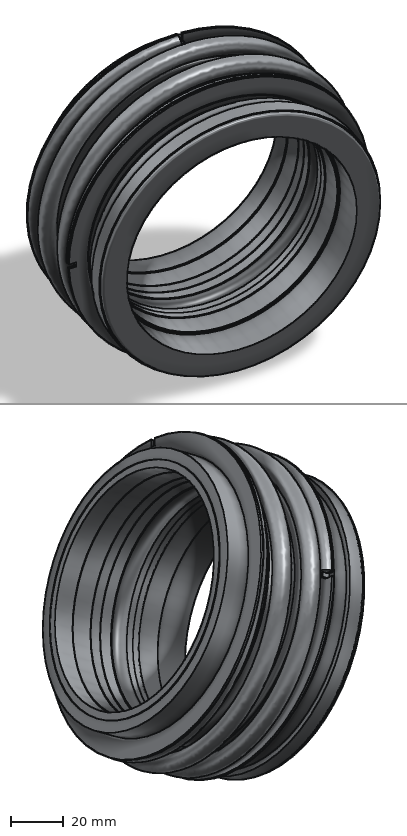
import cadquery as cq
import math


SHAFT_BORE_D = 95.0
SLEEVE_BORE_D = 95.6
TAIL_BORE_D = 96.0
RELIEF_BORE_D = 96.6
SEAT_BORE_D = 98.1
SLEEVE_D = 102.0
FACE_RING_D = 106.7
GASKET_SEAT_D = 107.5
RUBBER_D = 111.3
SEAT_NOSE_D = 115.5
SEAT_FLANGE_D = 119.0
GASKET_D = 120.0
RING_FLANGE_D = 128.0
SHEET = 1.0
RING_HUB_D = RUBBER_D + 2 * SHEET

TAIL_START = 0.4
SLEEVE_END = 9.0
LEFT_RING_START = 10.0
RING_LENGTH = 9.4
RIGHT_RING_END = 45.8
FACE_RING_START = 38.0
FACE_RELIEF_START = 41.0
SEAT_START = 51.0
GASKET_START = 57.0
SEAT_FLANGE_START = 63.2
TOTAL_LENGTH = 65.0

LEFT_RING_END = LEFT_RING_START + RING_LENGTH
RIGHT_RING_START = RIGHT_RING_END - RING_LENGTH
LEFT_FLANGE_FACE = LEFT_RING_START + SHEET
RIGHT_FLANGE_FACE = RIGHT_RING_END - SHEET

MOUTH_R = 1.0
SHOULDER_R = 1.2
BORE_CHAMFER = 0.4
SEAT_EDGE_R = 1.0
DIAGONAL = math.sqrt(0.5)


def revolve_about_x(profile):
    """Close a profile drawn as (x, radius) and turn it about the X axis."""
    return profile.close().revolve(360, (0, 0, 0), (1, 0, 0))


def profile_from(points):
    """Straight-sided profile through (x, diameter) corners."""
    return cq.Workplane("XY").polyline([(x, d / 2) for x, d in points])


def make_tail_sleeve():
    return revolve_about_x(profile_from([
        (0, SLEEVE_BORE_D),
        (SLEEVE_END - BORE_CHAMFER, SLEEVE_BORE_D),
        (SLEEVE_END, SLEEVE_BORE_D + 2 * BORE_CHAMFER),
        (SLEEVE_END, SLEEVE_D),
        (0, SLEEVE_D),
    ]))


VALLEY_X = 24.2
VALLEY_RADIUS = 49.2
VALLEY_ARC_R = 4.6
VALLEY_START_ANGLE = math.radians(-50)
CREST_X = 32.4
RELIEF_START = 17.8
RELIEF_END = 22.5
FOLD_POCKET_X = 31.3
FOLD_POCKET_R = 3.7
FOLD_LIP_D = SHAFT_BORE_D


def make_bellows():
    crest_radius = FACE_RING_D / 2
    valley_centre = VALLEY_RADIUS + VALLEY_ARC_R

    run = CREST_X - VALLEY_X
    lift = valley_centre - crest_radius
    crest_arc_r = (run ** 2 + lift ** 2 - VALLEY_ARC_R ** 2) / (2 * (VALLEY_ARC_R - lift))
    crest_centre = crest_radius - crest_arc_r
    meeting_angle = math.atan2(run, lift + crest_arc_r)

    def on_valley(angle):
        return (VALLEY_X + VALLEY_ARC_R * math.sin(angle),
                valley_centre - VALLEY_ARC_R * math.cos(angle))

    def on_crest(angle):
        return (CREST_X - crest_arc_r * math.sin(angle),
                crest_centre + crest_arc_r * math.cos(angle))

    sleeve_r = SLEEVE_D / 2
    rubber_r = RUBBER_D / 2
    hub_r = RING_HUB_D / 2
    shoulder_base = hub_r - SHOULDER_R
    shoulder_mid = SHOULDER_R * DIAGONAL
    tail_bore_r = TAIL_BORE_D / 2
    relief_r = RELIEF_BORE_D / 2
    lip_r = FOLD_LIP_D / 2
    pocket_start = FOLD_POCKET_X - FOLD_POCKET_R
    pocket_end = FOLD_POCKET_X + FOLD_POCKET_R

    profile = (
        cq.Workplane("XY")
        .moveTo(TAIL_START, sleeve_r)
        .lineTo(TAIL_START, rubber_r)
        .lineTo(LEFT_RING_END, rubber_r)
        .lineTo(LEFT_RING_END, hub_r)
        .threePointArc((LEFT_RING_END + shoulder_mid, shoulder_base + shoulder_mid),
                       (LEFT_RING_END + SHOULDER_R, shoulder_base))
        .lineTo(*on_valley(VALLEY_START_ANGLE))
        .threePointArc(on_valley(0), on_valley(meeting_angle))
        .threePointArc(on_crest(meeting_angle / 2), on_crest(0))
        .lineTo(RIGHT_RING_START - SHOULDER_R, crest_radius)
        .lineTo(RIGHT_RING_START - SHOULDER_R, shoulder_base)
        .threePointArc((RIGHT_RING_START - shoulder_mid, shoulder_base + shoulder_mid),
                       (RIGHT_RING_START, hub_r))
        .lineTo(RIGHT_RING_START, rubber_r)
        .lineTo(RIGHT_RING_END, rubber_r)
        .lineTo(RIGHT_RING_END, crest_radius)
        .lineTo(FACE_RING_START, crest_radius)
        .lineTo(FACE_RING_START, lip_r)
        .lineTo(pocket_end, lip_r)
        .threePointArc((FOLD_POCKET_X, lip_r + FOLD_POCKET_R), (pocket_start, lip_r))
        .lineTo(pocket_start, tail_bore_r)
        .lineTo(RELIEF_END, tail_bore_r)
        .lineTo(RELIEF_END, relief_r)
        .lineTo(RELIEF_START, relief_r)
        .lineTo(RELIEF_START, tail_bore_r)
        .lineTo(SLEEVE_END, tail_bore_r)
        .lineTo(SLEEVE_END, sleeve_r)
    )
    return revolve_about_x(profile)


TAB_WIDTH = 2.0
TAB_CLEARANCE = 0.1
NOTCH_DEPTH = 3.0
TAB_REACH = 3.0
TAB_RADIUS = RING_FLANGE_D / 2 - NOTCH_DEPTH


def make_spring_ring():
    """Ring with its flange at x = 0, its hub towards +X and its tab at the top (+Z)."""
    hub_r = RING_HUB_D / 2
    bore_r = RUBBER_D / 2
    flange_r = RING_FLANGE_D / 2
    profile = (
        cq.Workplane("XY")
        .moveTo(0, flange_r)
        .lineTo(SHEET, flange_r)
        .lineTo(SHEET, hub_r)
        .lineTo(RING_LENGTH, hub_r)
        .lineTo(RING_LENGTH, bore_r)
        .lineTo(MOUTH_R, bore_r)
        .threePointArc(
            (MOUTH_R * (1 - DIAGONAL), bore_r + MOUTH_R * (1 - DIAGONAL)),
            (0, bore_r + MOUTH_R))
    )
    notch = cq.Workplane("XY").box(SHEET, TAB_WIDTH, 2 * NOTCH_DEPTH, centered=(False, False, False))
    tab = cq.Workplane("XY").box(TAB_REACH, TAB_WIDTH, SHEET, centered=(False, False, False))
    ring = (
        revolve_about_x(profile)
        .cut(notch.translate((0, TAB_CLEARANCE, TAB_RADIUS)))
        .union(tab.translate((0, TAB_CLEARANCE, TAB_RADIUS - SHEET)))
    )
    return ring.solids()


def make_left_ring():
    return make_spring_ring().translate((LEFT_RING_START, 0, 0))


def make_right_ring():
    ring = make_spring_ring().rotate((0, 0, 0), (0, 0, 1), 180)
    ring = ring.rotate((0, 0, 0), (1, 0, 0), 90)
    return ring.translate((RIGHT_RING_END, 0, 0))


WIRE_D = 7.4
END_COIL_R = 60.5
BARREL = 1.32
TURNS_ANGLE = 1170
END_COIL_ANGLE = 109
STEEP_START_ANGLE = 360
STEEP_END_ANGLE = TURNS_ANGLE - STEEP_START_ANGLE
STEEP_START_RISE = 7.6
PATH_STEP = 15


def coil_x(angle):
    """Axial position of the wire centre, the same from both ends."""
    middle = TURNS_ANGLE / 2
    if angle > middle:
        return LEFT_FLANGE_FACE + RIGHT_FLANGE_FACE - coil_x(TURNS_ANGLE - angle)
    if angle <= END_COIL_ANGLE:
        return LEFT_FLANGE_FACE
    if angle <= STEEP_START_ANGLE:
        part = (angle - END_COIL_ANGLE) / (STEEP_START_ANGLE - END_COIL_ANGLE)
        return LEFT_FLANGE_FACE + part * STEEP_START_RISE
    half_gap = (RIGHT_FLANGE_FACE - LEFT_FLANGE_FACE) / 2
    part = (angle - STEEP_START_ANGLE) / (middle - STEEP_START_ANGLE)
    return LEFT_FLANGE_FACE + STEEP_START_RISE + part * (half_gap - STEEP_START_RISE)


def coil_radius(angle):
    if angle <= STEEP_START_ANGLE or angle >= STEEP_END_ANGLE:
        return END_COIL_R
    part = (angle - STEEP_START_ANGLE) / (STEEP_END_ANGLE - STEEP_START_ANGLE)
    return END_COIL_R + BARREL * math.sin(math.pi * part)


def coil_point(angle):
    radius = coil_radius(angle)
    turn = math.radians(angle)
    return cq.Vector(coil_x(angle), -radius * math.sin(turn), radius * math.cos(turn))


def make_spring():
    points = [coil_point(angle) for angle in range(0, TURNS_ANGLE + 1, PATH_STEP)]
    path = cq.Edge.makeSpline(points)
    wire = (
        cq.Workplane("XZ")
        .center(LEFT_FLANGE_FACE, END_COIL_R)
        .transformed(rotate=(0, 0, 90))
        .circle(WIRE_D / 2)
        .sweep(cq.Workplane(cq.Wire.assembleEdges([path])))
    )
    gap = RIGHT_FLANGE_FACE - LEFT_FLANGE_FACE
    between_flanges = (
        cq.Workplane("YZ", origin=(LEFT_FLANGE_FACE, 0, 0))
        .rect(2 * RING_FLANGE_D, 2 * RING_FLANGE_D)
        .extrude(gap)
    )
    return wire.intersect(between_flanges).solids()


def make_face_ring():
    return revolve_about_x(profile_from([
        (FACE_RING_START, SHAFT_BORE_D),
        (FACE_RELIEF_START, SHAFT_BORE_D),
        (FACE_RELIEF_START, TAIL_BORE_D),
        (SEAT_START - BORE_CHAMFER, TAIL_BORE_D),
        (SEAT_START, TAIL_BORE_D + 2 * BORE_CHAMFER),
        (SEAT_START, FACE_RING_D),
        (FACE_RING_START, FACE_RING_D),
    ]))


def make_seat():
    seat = revolve_about_x(profile_from([
        (SEAT_START, SEAT_BORE_D),
        (TOTAL_LENGTH, SEAT_BORE_D),
        (TOTAL_LENGTH, SEAT_FLANGE_D),
        (SEAT_FLANGE_START, SEAT_FLANGE_D),
        (SEAT_FLANGE_START, GASKET_SEAT_D),
        (GASKET_START, GASKET_SEAT_D),
        (GASKET_START, SEAT_NOSE_D),
        (SEAT_START, SEAT_NOSE_D),
    ]))
    return seat.faces(">X").edges(cq.selectors.RadiusNthSelector(-1)).fillet(SEAT_EDGE_R).solids()


def make_gasket():
    return revolve_about_x(profile_from([
        (GASKET_START, GASKET_SEAT_D),
        (SEAT_FLANGE_START, GASKET_SEAT_D),
        (SEAT_FLANGE_START, GASKET_D),
        (GASKET_START, GASKET_D),
    ]))


tail_sleeve = make_tail_sleeve()
bellows = make_bellows()
left_ring = make_left_ring()
right_ring = make_right_ring()
spring = make_spring()
face_ring = make_face_ring()
seat = make_seat()
gasket = make_gasket()

result = cq.Compound.makeCompound([
    tail_sleeve.val(),
    bellows.val(),
    left_ring.val(),
    right_ring.val(),
    spring.val(),
    face_ring.val(),
    seat.val(),
    gasket.val(),
])